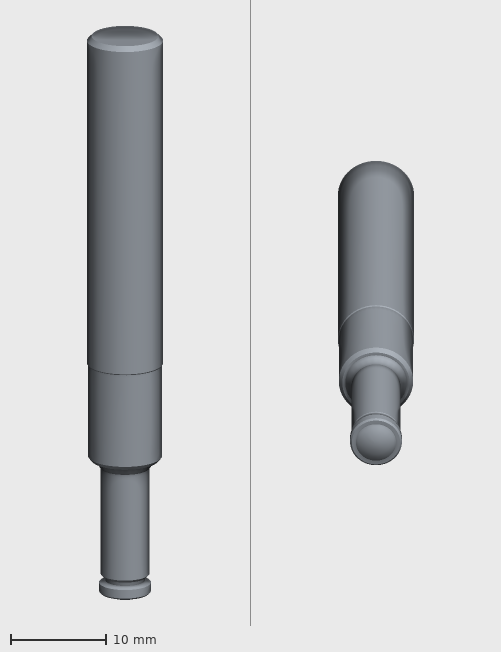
import cadquery as cq

TOTAL_LENGTH = 62.0

HOUSING_RADIUS = 8.0 / 2
NOSE_RADIUS = 7.8 / 2
TOP_CHAMFER = 0.5
STEP_Z = 25.85
STEP_CHAMFER_HEIGHT = 0.1
NOSE_EDGE_Z = 15.75
NOSE_LIP_Z = 15.3
NOSE_LIP_RADIUS = 3.55
CONE_RADIUS = 3.2
NOSE_END_Z = 14.45

ROD_RADIUS = 5.15 / 2
ROD_TOP_Z = STEP_Z
ROD_EDGE_Z = 2.8
NECK_RADIUS = 4.15 / 2
ROD_END_CHAMFER = 0.3

TIP_RADIUS = 5.45 / 2
TIP_TOP_Z = 2.05
TIP_RIM_TOP_Z = 1.8
TIP_CHAMFER = 0.2
DOME_RADIUS = 2.1
DOME_HEIGHT = 0.7


def make_housing():
    """Solid cylinder with a stepped nose, an end cone and a blind bore for the rod."""
    profile = (
        cq.Workplane("XZ")
        .moveTo(0, TOTAL_LENGTH)
        .lineTo(HOUSING_RADIUS - TOP_CHAMFER, TOTAL_LENGTH)
        .lineTo(HOUSING_RADIUS, TOTAL_LENGTH - TOP_CHAMFER)
        .lineTo(HOUSING_RADIUS, STEP_Z + STEP_CHAMFER_HEIGHT)
        .lineTo(NOSE_RADIUS, STEP_Z)
        .lineTo(NOSE_RADIUS, NOSE_EDGE_Z)
        .lineTo(NOSE_LIP_RADIUS, NOSE_LIP_Z)
        .lineTo(CONE_RADIUS, NOSE_LIP_Z)
        .lineTo(ROD_RADIUS, NOSE_END_Z)
        .lineTo(ROD_RADIUS, ROD_TOP_Z)
        .lineTo(0, ROD_TOP_Z)
        .close()
    )
    return profile.revolve(360, (0, 0), (0, 1))


def make_rod():
    """Rod with a chamfered lower end and a narrower neck standing on the tip."""
    profile = (
        cq.Workplane("XZ")
        .moveTo(0, ROD_TOP_Z)
        .lineTo(ROD_RADIUS, ROD_TOP_Z)
        .lineTo(ROD_RADIUS, ROD_EDGE_Z)
        .lineTo(ROD_RADIUS - ROD_END_CHAMFER, ROD_EDGE_Z - ROD_END_CHAMFER)
        .lineTo(NECK_RADIUS, ROD_EDGE_Z - ROD_END_CHAMFER)
        .lineTo(NECK_RADIUS, TIP_TOP_Z)
        .lineTo(0, TIP_TOP_Z)
        .close()
    )
    return profile.revolve(360, (0, 0), (0, 1))


def make_tip():
    """Disc with a conical top, a chamfered lower rim and a spherical dome below."""
    dome_sphere_radius = (DOME_RADIUS**2 + DOME_HEIGHT**2) / (2 * DOME_HEIGHT)
    dome_mid_radius = DOME_RADIUS / 2
    dome_mid_z = dome_sphere_radius - (dome_sphere_radius**2 - dome_mid_radius**2) ** 0.5
    profile = (
        cq.Workplane("XZ")
        .moveTo(0, TIP_TOP_Z)
        .lineTo(NECK_RADIUS, TIP_TOP_Z)
        .lineTo(TIP_RADIUS, TIP_RIM_TOP_Z)
        .lineTo(TIP_RADIUS, DOME_HEIGHT + TIP_CHAMFER)
        .lineTo(TIP_RADIUS - TIP_CHAMFER, DOME_HEIGHT)
        .lineTo(DOME_RADIUS, DOME_HEIGHT)
        .threePointArc((dome_mid_radius, dome_mid_z), (0, 0))
        .close()
    )
    return profile.revolve(360, (0, 0), (0, 1))


housing = make_housing()
rod = make_rod()
tip = make_tip()

result = cq.Compound.makeCompound([housing.val(), rod.val(), tip.val()])